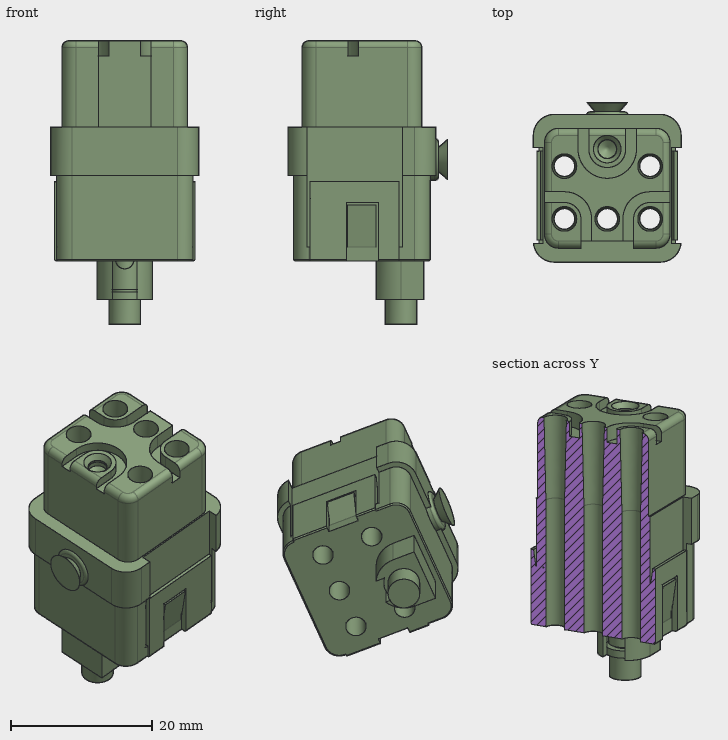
import cadquery as cq
SLEEVE_BOTTOM = 3.5
BODY_BOTTOM = 8.95
FLANGE_BOTTOM = 21.05
FLANGE_TOP = 27.95
TOWER_TOP = 40.2

FLANGE_WIDTH = 21.0
FLANGE_CORNER_R = 3.0
BODY_WIDTH = 19.4
BODY_CORNER_R = FLANGE_CORNER_R - (FLANGE_WIDTH - BODY_WIDTH) / 2
BOTTOM_CHAMFER = 0.2

TOWER_X = 17.8
TOWER_Y = 17.0
TOWER_CORNER_R = 2.0
TOWER_TOP_FILLET = 1.0
CORNER_GROOVE_DEPTH = 2.2
EARTH_GROOVE_DEPTH = 1.4
GROOVE_WIDTH = 1.53
CORNER_ISLAND_R = 2.35
EARTH_ISLAND_R = 2.6
FRONT_RECESS_DEPTH = 1.0

CONTACT_X = 6.07
FRONT_CONTACT_Y = -4.35
REAR_CONTACT_Y = 3.15
EARTH_Y = 5.55
CONTACT_BORE_D = 2.9
CONTACT_MOUTH_D = 3.5

EARTH_MOUTH_D = 3.9
EARTH_RIM_D = 2.7
EARTH_BORE_D = 2.6
EARTH_CONE_DEPTH = 0.8
EARTH_RIM_DEPTH = 1.1
EARTH_WALL_DEPTH = 1.8
EARTH_TIP_DEPTH = 2.6

RECESS_Y_MIN = -7.8
RECESS_Y_MAX = 5.75
RECESS_FLOOR_X = 9.13
RECESS_BOTTOM = 10.97
PAD_Y_MIN = -7.35
PAD_Y_MAX = 5.25
PAD_TOP = 20.22
PAD_FACE_X = 9.95
PAD_GAP_WIDTH = 0.35
PAD_GAP_DEPTH = 2.4
WINDOW_Y_MIN = -2.17
WINDOW_Y_MAX = 2.35
WINDOW_TOP = 17.3
WEDGE_Y_MIN = -2.05
WEDGE_Y_MAX = 2.0
WEDGE_TOP = 16.92

SCREW_Z = 23.35
SCREW_END_Y = 12.15
SCREW_HEAD_D = 5.7
SCREW_NECK_D = 3.5
BOSS_D = 5.95
BOSS_HEIGHT = 0.35
BOSS_FILLET = 0.55

SLEEVE_R = 3.95
SLEEVE_BACK_Y = 8.75
SLEEVE_SLOT_WIDTH = 3.55
CLAMP_RING_D = 5.7
CLAMP_RING_TOP = 4.6
CLAMP_NECK_D = 3.5
TUBE_D = 4.7
TUBE_BOTTOM = 4.9
TUBE_CORE_D = 3.2
TUBE_HOLE_D = 2.6
TUBE_HOLE_Z = 9.15
PIN_D = 4.5


def span_box(x_min, x_max, y_min, y_max, z_min, z_max):
    """Box between the given limits."""
    size = (x_max - x_min, y_max - y_min, z_max - z_min)
    return cq.Workplane("XY").box(*size, centered=False).translate((x_min, y_min, z_min))


def cylinder(diameter, x, y, z_min, z_max):
    """Upright cylinder between two levels."""
    return cq.Workplane("XY", origin=(x, y, z_min)).circle(diameter / 2).extrude(z_max - z_min)


def rounded_block(width, depth, corner_r, z_min, z_max):
    """Centred block with rounded upright edges."""
    block = cq.Workplane("XY", origin=(0, 0, z_min)).rect(width, depth).extrude(z_max - z_min)
    return block.edges("|Z").fillet(corner_r)


def side_profile(points, y_min, y_max):
    """Prism along Y from an X-Z outline."""
    prism = cq.Workplane("XZ").polyline(points).close().extrude(-(y_max - y_min))
    return prism.translate((0, y_min, 0))


def both_sides(shape):
    """Shape together with its mirror image across the Y-Z plane."""
    return shape.union(shape.mirror("YZ"))


def make_housing():
    """Body and flange with recesses and latch pads on both X sides."""
    body = rounded_block(BODY_WIDTH, BODY_WIDTH, BODY_CORNER_R, BODY_BOTTOM, FLANGE_TOP)
    body = body.faces("<Z").edges().chamfer(BOTTOM_CHAMFER)
    flange = rounded_block(FLANGE_WIDTH, FLANGE_WIDTH, FLANGE_CORNER_R, FLANGE_BOTTOM, FLANGE_TOP)
    recess = span_box(RECESS_FLOOR_X, FLANGE_WIDTH, RECESS_Y_MIN, RECESS_Y_MAX, RECESS_BOTTOM, FLANGE_TOP)
    housing = body.union(flange).cut(both_sides(recess))

    pad_root_x = RECESS_FLOOR_X - BOTTOM_CHAMFER
    pad = span_box(pad_root_x, PAD_FACE_X, PAD_Y_MIN, PAD_Y_MAX, BODY_BOTTOM, PAD_TOP)
    pad = pad.edges(">X and <Z").chamfer(BOTTOM_CHAMFER)
    gap_outline = [
        (RECESS_FLOOR_X, PAD_TOP),
        (RECESS_FLOOR_X + PAD_GAP_WIDTH, PAD_TOP),
        (RECESS_FLOOR_X, PAD_TOP - PAD_GAP_DEPTH),
    ]
    pad = pad.cut(side_profile(gap_outline, PAD_Y_MIN, PAD_Y_MAX))
    window = span_box(RECESS_FLOOR_X, FLANGE_WIDTH, WINDOW_Y_MIN, WINDOW_Y_MAX, BODY_BOTTOM, WINDOW_TOP)
    wedge_outline = [
        (pad_root_x, WEDGE_TOP),
        (PAD_FACE_X, WEDGE_TOP),
        (RECESS_FLOOR_X, RECESS_BOTTOM),
        (pad_root_x, RECESS_BOTTOM),
    ]
    wedge = side_profile(wedge_outline, WEDGE_Y_MIN, WEDGE_Y_MAX)
    return housing.union(both_sides(pad)).cut(both_sides(window)).union(both_sides(wedge))


def island_prism(center, radius, x_dir):
    """Corner island: round about a contact, running straight out to -Y and to one X side."""
    x, y = center
    z_min = TOWER_TOP - CORNER_GROOVE_DEPTH
    prism = cylinder(2 * radius, x, y, z_min, TOWER_TOP)
    far_x = x_dir * TOWER_X
    side_arm = span_box(min(x, far_x), max(x, far_x), -TOWER_Y, y + radius, z_min, TOWER_TOP)
    front_x = x - x_dir * radius
    front_arm = span_box(min(front_x, far_x), max(front_x, far_x), -TOWER_Y, y, z_min, TOWER_TOP)
    return prism.union(side_arm).union(front_arm)


def earth_prism(radius):
    """Earth island: round about the earth contact, running straight out to +Y."""
    z_min = TOWER_TOP - EARTH_GROOVE_DEPTH
    arm = span_box(-radius, radius, EARTH_Y, TOWER_Y, z_min, TOWER_TOP)
    return cylinder(2 * radius, 0, EARTH_Y, z_min, TOWER_TOP).union(arm)


def make_tower():
    """Contact tower with a front recess and grooves around three contacts."""
    tower = rounded_block(TOWER_X, TOWER_Y, TOWER_CORNER_R, FLANGE_TOP, TOWER_TOP)
    tower = tower.faces(">Z").edges().fillet(TOWER_TOP_FILLET)

    recess_half = CONTACT_X - CORNER_ISLAND_R
    recess_back = FRONT_RECESS_DEPTH - TOWER_Y / 2
    tower = tower.cut(span_box(-recess_half, recess_half, -TOWER_Y, recess_back, FLANGE_TOP, TOWER_TOP))

    for side in (-1, 1):
        center = (side * CONTACT_X, FRONT_CONTACT_Y)
        island = island_prism(center, CORNER_ISLAND_R, side)
        tower = tower.cut(island_prism(center, CORNER_ISLAND_R + GROOVE_WIDTH, side).cut(island))

    return tower.cut(earth_prism(EARTH_ISLAND_R + GROOVE_WIDTH).cut(earth_prism(EARTH_ISLAND_R)))


def make_contact_holes():
    """Five through holes that taper down the height of the tower."""
    holes = cq.Workplane("XY")
    positions = [(0, FRONT_CONTACT_Y)]
    for side in (-1, 1):
        positions += [(side * CONTACT_X, FRONT_CONTACT_Y), (side * CONTACT_X, REAR_CONTACT_Y)]
    for x, y in positions:
        profile = [
            (0, BODY_BOTTOM),
            (CONTACT_BORE_D / 2, BODY_BOTTOM),
            (CONTACT_BORE_D / 2, FLANGE_TOP),
            (CONTACT_MOUTH_D / 2, TOWER_TOP),
            (0, TOWER_TOP),
        ]
        hole = cq.Workplane("XZ").polyline(profile).close().revolve(360, (0, 0), (0, 1))
        holes = holes.add(hole.translate((x, y, 0)))
    return holes.combine()


def make_earth_bore():
    """Blind bore of the earth contact: countersunk mouth, stepped wall and conical end."""
    profile = [
        (0, TOWER_TOP),
        (EARTH_MOUTH_D / 2, TOWER_TOP),
        (EARTH_RIM_D / 2, TOWER_TOP - EARTH_CONE_DEPTH),
        (EARTH_RIM_D / 2, TOWER_TOP - EARTH_RIM_DEPTH),
        (EARTH_BORE_D / 2, TOWER_TOP - EARTH_RIM_DEPTH),
        (EARTH_BORE_D / 2, TOWER_TOP - EARTH_WALL_DEPTH),
        (0, TOWER_TOP - EARTH_TIP_DEPTH),
    ]
    bore = cq.Workplane("XZ").polyline(profile).close().revolve(360, (0, 0), (0, 1))
    return bore.translate((0, EARTH_Y, 0))


def make_screw():
    """Round boss and countersunk screw on the +Y side."""
    boss_face_y = FLANGE_WIDTH / 2 + BOSS_HEIGHT
    boss_root_y = BODY_WIDTH / 2 - BOSS_FILLET
    profile = [
        (0, boss_root_y),
        (SCREW_NECK_D / 2, boss_root_y),
        (SCREW_NECK_D / 2, boss_face_y),
        (SCREW_HEAD_D / 2, SCREW_END_Y),
        (0, SCREW_END_Y),
    ]
    screw = cq.Workplane("XY").polyline(profile).close().revolve(360, (0, 0), (0, 1))
    boss = cq.Workplane("XZ", origin=(0, boss_root_y, 0)).circle(BOSS_D / 2)
    boss = boss.extrude(boss_root_y - boss_face_y).faces(">Y").edges().fillet(BOSS_FILLET)
    return screw.union(boss).translate((0, 0, SCREW_Z))


def make_cable_entry():
    """Slotted sleeve around a clamp ring, a tube with a cross hole, and the cable pin."""
    sleeve = cylinder(2 * SLEEVE_R, 0, EARTH_Y, SLEEVE_BOTTOM, BODY_BOTTOM)
    sleeve = sleeve.intersect(span_box(-SLEEVE_R, SLEEVE_R, 0, EARTH_Y, SLEEVE_BOTTOM, BODY_BOTTOM))
    back = span_box(-SLEEVE_R, SLEEVE_R, EARTH_Y, SLEEVE_BACK_Y, SLEEVE_BOTTOM, BODY_BOTTOM)
    half_slot = SLEEVE_SLOT_WIDTH / 2
    slot = span_box(-half_slot, half_slot, 0, EARTH_Y, SLEEVE_BOTTOM, BODY_BOTTOM)
    bore = cylinder(CLAMP_RING_D, 0, EARTH_Y, SLEEVE_BOTTOM, BODY_BOTTOM)
    sleeve = sleeve.union(back).cut(slot).cut(bore)

    tube = cylinder(TUBE_D, 0, EARTH_Y, TUBE_BOTTOM, BODY_BOTTOM)
    cross_hole = cq.Workplane("XZ", origin=(0, EARTH_Y, TUBE_HOLE_Z)).circle(TUBE_HOLE_D / 2).extrude(TUBE_D)
    core = cylinder(TUBE_CORE_D, 0, EARTH_Y, TUBE_BOTTOM, BODY_BOTTOM)
    tube = tube.cut(cross_hole).union(core)

    ring = cylinder(CLAMP_RING_D, 0, EARTH_Y, SLEEVE_BOTTOM, CLAMP_RING_TOP)
    neck = cylinder(CLAMP_NECK_D, 0, EARTH_Y, CLAMP_RING_TOP, TUBE_BOTTOM)
    pin = cylinder(PIN_D, 0, EARTH_Y, 0, SLEEVE_BOTTOM)
    return sleeve.union(ring).union(neck).union(tube).union(pin)


part = make_housing().union(make_tower())
part = part.cut(make_contact_holes()).cut(make_earth_bore())
result = part.union(make_screw()).union(make_cable_entry())